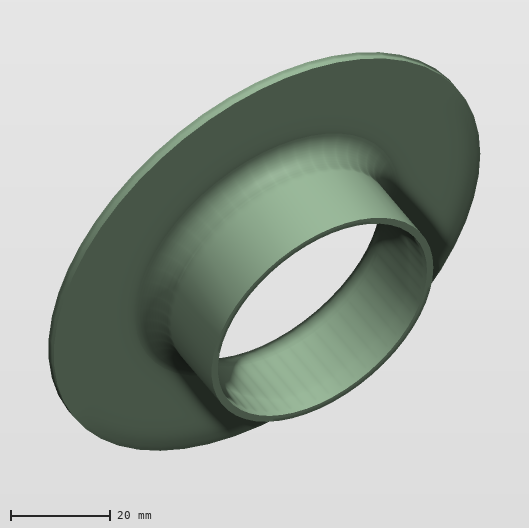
import cadquery as cq
import math

flange_diameter = 102.0
flange_thickness = 2.0
total_length = 23.0
tube_outer_diameter = 53.0
bore_diameter = 50.0
outer_fillet_radius = 5.0

flange_rim = flange_diameter / 2
tube_wall = tube_outer_diameter / 2
bore_wall = bore_diameter / 2

blend_end = flange_thickness + outer_fillet_radius
mouth_radius = blend_end
fillet_center_y = tube_wall + outer_fillet_radius
mouth_center_y = bore_wall + mouth_radius


def quarter_arc_middle(center_y, radius):
    """Midpoint of a quarter arc centred at X = blend_end, on its side facing -X and the axis."""
    offset = radius * math.sqrt(0.5)
    return (blend_end - offset, center_y - offset)


half_section = (
    cq.Workplane("XY")
    .moveTo(0, mouth_center_y)
    .lineTo(0, flange_rim)
    .lineTo(flange_thickness, flange_rim)
    .lineTo(flange_thickness, fillet_center_y)
    .threePointArc(quarter_arc_middle(fillet_center_y, outer_fillet_radius), (blend_end, tube_wall))
    .lineTo(total_length, tube_wall)
    .lineTo(total_length, bore_wall)
    .lineTo(blend_end, bore_wall)
    .threePointArc(quarter_arc_middle(mouth_center_y, mouth_radius), (0, mouth_center_y))
    .close()
)

result = half_section.revolve(360, (0, 0, 0), (1, 0, 0))